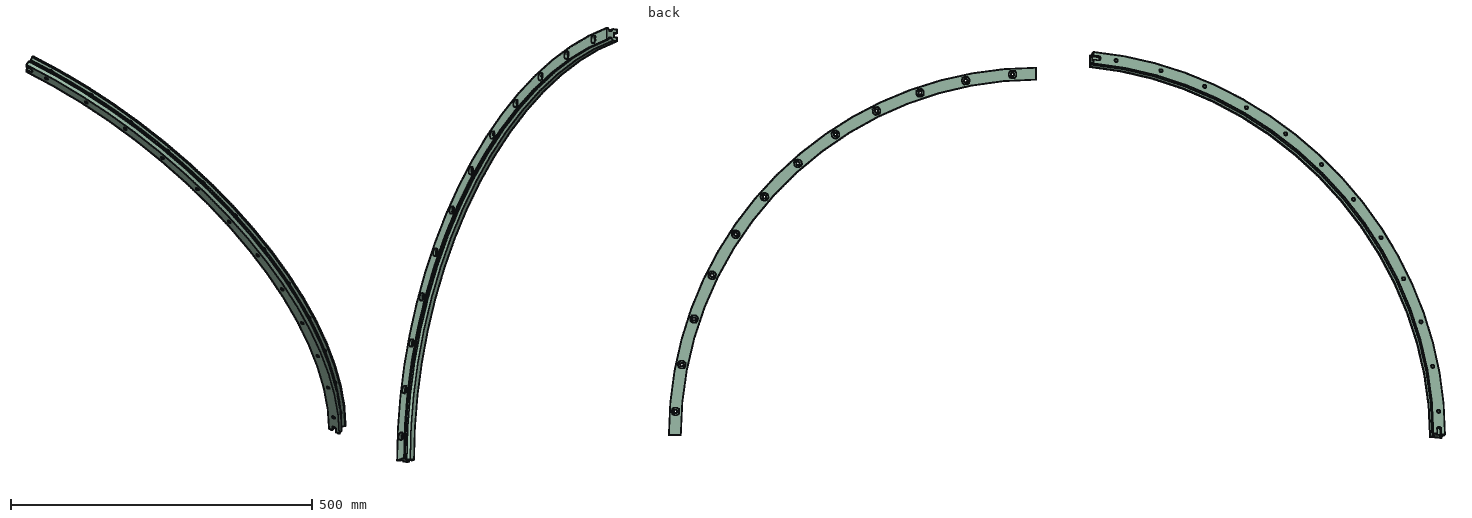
import cadquery as cq
import math

outer_radius = 610.0
rail_height = 20.0
rail_depth = 21.0
inner_radius = outer_radius - rail_height
middle_radius = outer_radius - rail_height / 2
sweep = 90.0

front_flange = 8.0
back_flange = 2.5
groove_slope = 3.5
groove_depth = 4.6

hole_count = 12
hole_diameter = 5.5
bore_diameter = 13.0
floor_front = front_flange + groove_slope
floor_back = rail_depth - back_flange - groove_slope
bore_depth = 7.5
hole_pitch = sweep / hole_count

slot_width = 7.5
slot_length = 12.0
slot_depth = 6.0


def make_rail():
    """Revolve the grooved section through a quarter turn about the Y axis."""
    outer_floor = outer_radius - groove_depth
    inner_floor = inner_radius + groove_depth
    groove_back = rail_depth - back_flange
    section = [
        (inner_radius, 0),
        (outer_radius, 0),
        (outer_radius, front_flange),
        (outer_floor, floor_front),
        (outer_floor, floor_back),
        (outer_radius, groove_back),
        (outer_radius, rail_depth),
        (inner_radius, rail_depth),
        (inner_radius, groove_back),
        (inner_floor, floor_back),
        (inner_floor, floor_front),
        (inner_radius, front_flange),
    ]
    return cq.Workplane("XY").polyline(section).close().revolve(sweep, (0, 0, 0), (0, -1, 0))


def cylinder_along_y(x, z, diameter, start, length):
    base = cq.Vector(x, start, z)
    return cq.Solid.makeCylinder(diameter / 2, length, base, cq.Vector(0, 1, 0))


def cut_holes(rail):
    for index in range(hole_count):
        angle = math.radians((index + 0.5) * hole_pitch)
        x = middle_radius * math.cos(angle)
        z = middle_radius * math.sin(angle)
        rail = rail.cut(cylinder_along_y(x, z, hole_diameter, 0, rail_depth))
        rail = rail.cut(cylinder_along_y(x, z, bore_diameter, rail_depth - bore_depth, bore_depth))
    return rail


def make_end_slot():
    """Slot opening through the end at Z = 0."""
    straight = slot_length - slot_width / 2
    channel = cq.Workplane("XY").box(slot_width, slot_depth, straight, centered=(True, False, False))
    channel = channel.translate((middle_radius, 0, 0))
    return channel.union(cylinder_along_y(middle_radius, straight, slot_width, 0, slot_depth))


lower_slot = make_end_slot()
upper_slot = lower_slot.mirror("YZ").rotate((0, 0, 0), (0, 1, 0), sweep)
result = cut_holes(make_rail()).cut(lower_slot).cut(upper_slot)